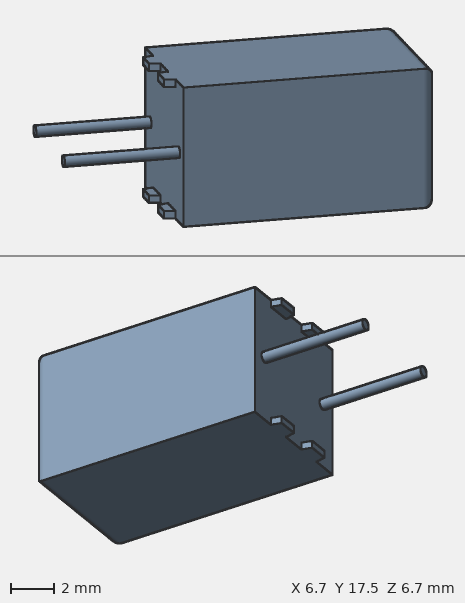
import cadquery as cq

total_length = 17.5
case_side = 6.7

case_length = 12.0
rear_fillet = 0.5

foot_height = 0.5
foot_thickness = 0.37
foot_base_width = 1.31
foot_tip_width = 1.05
foot_spacing = 2.62

lead_length = total_length - case_length
lead_diameter = 0.55
lead_spacing = 5.0


def make_foot(center_x, bottom_z):
    """Tapered foot that projects from the lead face toward -Y."""
    half_base = foot_base_width / 2
    half_tip = foot_tip_width / 2
    return (
        cq.Workplane("XY")
        .polyline([
            (-half_base, 0),
            (half_base, 0),
            (half_tip, -foot_height),
            (-half_tip, -foot_height),
        ])
        .close()
        .extrude(foot_thickness)
        .translate((center_x, 0, bottom_z))
    )


def make_housing():
    """Box with a rounded rear rim and four standoff feet."""
    body = (
        cq.Workplane("XY")
        .box(case_side, case_length, case_side, centered=(True, False, True))
        .faces(">Y")
        .edges()
        .fillet(rear_fillet)
    )
    bottom_foot_z = -case_side / 2
    top_foot_z = case_side / 2 - foot_thickness
    for center_x in (-foot_spacing / 2, foot_spacing / 2):
        for bottom_z in (bottom_foot_z, top_foot_z):
            body = body.union(make_foot(center_x, bottom_z))
    return body


def make_lead(center_x):
    """Straight round lead that runs from the lead face toward -Y."""
    return (
        cq.Workplane("XZ")
        .center(center_x, 0)
        .circle(lead_diameter / 2)
        .extrude(lead_length)
    )


housing = make_housing()
leads = []
for lead_x in (-lead_spacing / 2, lead_spacing / 2):
    leads.append(make_lead(lead_x).val())

result = cq.Compound.makeCompound([housing.val(), *leads])